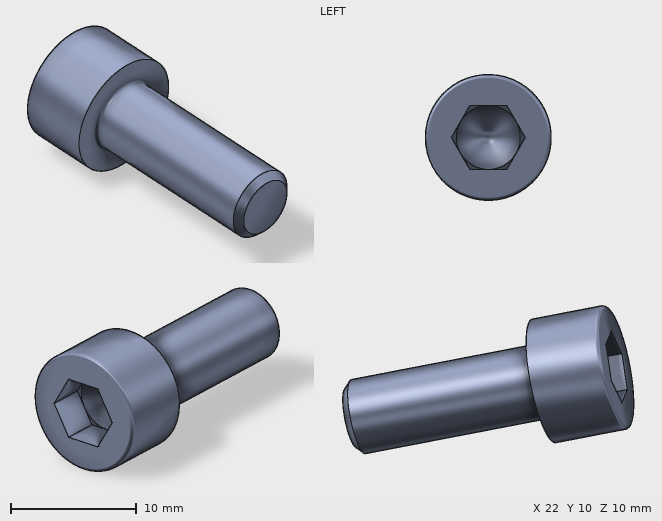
import cadquery as cq
import math

total_length = 22.0
head_diameter = 10.0
head_length = 6.0
head_edge_radius = 0.29
shank_diameter = 6.0
neck_fillet_radius = 0.25
tip_chamfer = 0.6
socket_across_flats = 5.08
socket_depth = 3.0
socket_cone_angle = 120.0

head_radius = head_diameter / 2
shank_radius = shank_diameter / 2


def make_body():
    """Revolve the head and shank profile about the X axis."""
    diagonal = math.sqrt(0.5)
    edge_inset = head_edge_radius * (1 - diagonal)
    neck_inset = neck_fillet_radius * (1 - diagonal)
    return (
        cq.Workplane("XY")
        .moveTo(0, 0)
        .lineTo(0, head_radius - head_edge_radius)
        .threePointArc((edge_inset, head_radius - edge_inset), (head_edge_radius, head_radius))
        .lineTo(head_length, head_radius)
        .lineTo(head_length, shank_radius + neck_fillet_radius)
        .threePointArc(
            (head_length + neck_inset, shank_radius + neck_inset),
            (head_length + neck_fillet_radius, shank_radius),
        )
        .lineTo(total_length - tip_chamfer, shank_radius)
        .lineTo(total_length, shank_radius - tip_chamfer)
        .lineTo(total_length, 0)
        .close()
        .revolve(360, (0, 0, 0), (1, 0, 0))
    )


def make_socket():
    """Hexagonal socket, flats facing +Z and -Z, with a conical drill point below it."""
    corner_diameter = socket_across_flats / math.cos(math.pi / 6)
    cone_radius = socket_across_flats / 2
    cone_depth = cone_radius / math.tan(math.radians(socket_cone_angle / 2))
    hexagon = cq.Workplane("YZ").polygon(6, corner_diameter).extrude(socket_depth)
    drill_point = (
        cq.Workplane("XY")
        .moveTo(socket_depth, 0)
        .lineTo(socket_depth, cone_radius)
        .lineTo(socket_depth + cone_depth, 0)
        .close()
        .revolve(360, (0, 0, 0), (1, 0, 0))
    )
    return hexagon.union(drill_point)


result = make_body().cut(make_socket())